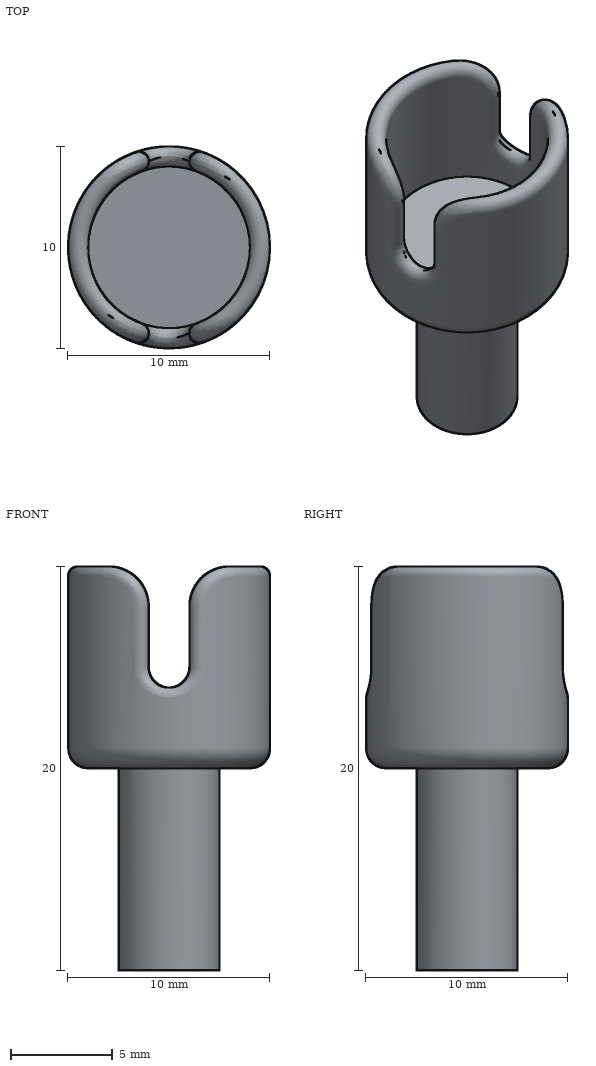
import cadquery as cq

stem_diameter = 5
stem_length = 10

cup_diameter = 10
bore_diameter = 8
cup_height = 10
floor_thickness = 2
base_round = 1
top_z = stem_length + cup_height
wall = (cup_diameter - bore_diameter) / 2

slot_width = 2
slot_bottom_z = 14
mouth_radius = 2

rim_clearance = 0.002
rim_round = wall / 2 - rim_clearance


def cup_body():
    """Open cup with a rounded outer base."""
    outer = (
        cq.Workplane("XY", origin=(0, 0, stem_length))
        .circle(cup_diameter / 2)
        .extrude(cup_height)
        .faces("<Z")
        .edges()
        .fillet(base_round)
    )
    bore = (
        cq.Workplane("XY", origin=(0, 0, stem_length + floor_thickness))
        .circle(bore_diameter / 2)
        .extrude(cup_height)
    )
    return outer.cut(bore)


def slot_cutter():
    """Round-bottomed slot whose mouth flares out in two quarter arcs."""
    half_width = slot_width / 2
    mouth_half_width = half_width + mouth_radius
    straight_bottom_z = slot_bottom_z + half_width
    straight_top_z = top_z - mouth_radius
    return (
        cq.Workplane("XZ")
        .moveTo(-mouth_half_width, top_z)
        .radiusArc((-half_width, straight_top_z), mouth_radius)
        .lineTo(-half_width, straight_bottom_z)
        .threePointArc((0, slot_bottom_z), (half_width, straight_bottom_z))
        .lineTo(half_width, straight_top_z)
        .radiusArc((mouth_half_width, top_z), mouth_radius)
        .close()
        .extrude(cup_diameter, both=True)
    )


def round_rim(cup):
    """Round the inner and outer edges of the rim and slot walls."""
    mouth_half_width = slot_width / 2 + mouth_radius
    slot_edges = cq.selectors.BoxSelector(
        (-mouth_half_width, -cup_diameter, slot_bottom_z),
        (mouth_half_width, cup_diameter, top_z + wall),
    )
    top_edges = cq.selectors.StringSyntaxSelector(">Z")
    edges_across_wall = cq.selectors.StringSyntaxSelector("|Y")
    return cup.edges(slot_edges + top_edges - edges_across_wall).fillet(rim_round)


stem = cq.Workplane("XY").circle(stem_diameter / 2).extrude(stem_length)
cup = round_rim(cup_body().cut(slot_cutter()))
result = stem.union(cup)